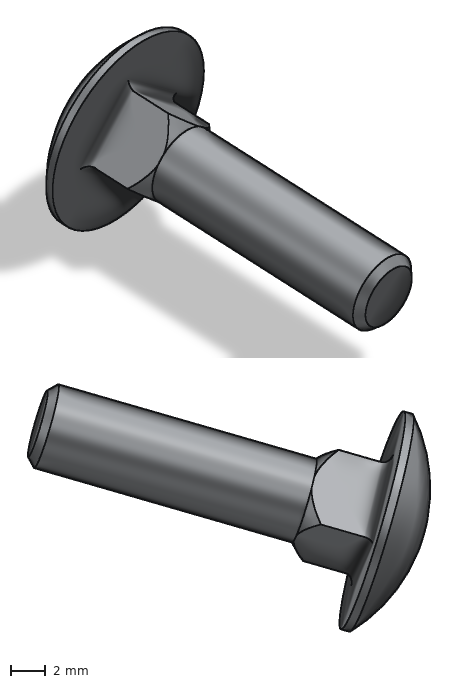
import cadquery as cq
import math

length = 23.05
head_diameter = 13.0
head_height = 3.05
rim_thickness = 0.5
shank_diameter = 5.0
neck_diagonal = 7.0
neck_length = 4.08
neck_fillet = 0.5
tip_chamfer = 0.5

head_radius = head_diameter / 2
shank_radius = shank_diameter / 2
neck_radius = neck_diagonal / 2
crown_height = head_height - rim_thickness
start_x = -length / 2
rim_x = start_x + crown_height
seat_x = start_x + head_height
neck_end_x = seat_x + neck_length
end_x = start_x + length


def make_head():
    """Domed disc: a spherical cap on a thin cylindrical rim."""
    dome_radius = (head_radius**2 + crown_height**2) / (2 * crown_height)
    half_angle = math.asin(head_radius / dome_radius) / 2
    arc_middle = (
        start_x + dome_radius * (1 - math.cos(half_angle)),
        dome_radius * math.sin(half_angle),
    )
    profile = (
        cq.Workplane("XY")
        .moveTo(start_x, 0)
        .threePointArc(arc_middle, (rim_x, head_radius))
        .lineTo(seat_x, head_radius)
        .lineTo(seat_x, 0)
        .close()
    )
    return profile.revolve(360, (0, 0, 0), (1, 0, 0))


def make_neck():
    """Square prism with corners facing Y and Z, its far end trimmed by a 45 degree cone."""
    prism = (
        cq.Workplane("YZ", origin=(seat_x, 0, 0))
        .polyline([(neck_radius, 0), (0, neck_radius), (-neck_radius, 0), (0, -neck_radius)])
        .close()
        .extrude(neck_end_x - seat_x)
    )
    cone_start_x = neck_end_x - (neck_radius - shank_radius)
    envelope = (
        cq.Workplane("XY")
        .moveTo(seat_x, 0)
        .lineTo(seat_x, neck_radius)
        .lineTo(cone_start_x, neck_radius)
        .lineTo(neck_end_x, shank_radius)
        .lineTo(neck_end_x, 0)
        .close()
        .revolve(360, (0, 0, 0), (1, 0, 0))
    )
    return prism.intersect(envelope)


def make_shank():
    """Round shank from the neck to the chamfered tip."""
    return (
        cq.Workplane("YZ", origin=(neck_end_x, 0, 0))
        .circle(shank_radius)
        .extrude(end_x - neck_end_x)
        .faces(">X")
        .chamfer(tip_chamfer)
    )


headed_neck = make_head().union(make_neck())
selection_margin = 0.02
joint_box = cq.selectors.BoxSelector(
    (seat_x - selection_margin, -neck_radius, -neck_radius),
    (seat_x + selection_margin, neck_radius, neck_radius),
)
headed_neck = headed_neck.edges(joint_box).edges("%LINE").fillet(neck_fillet)

result = headed_neck.union(make_shank())